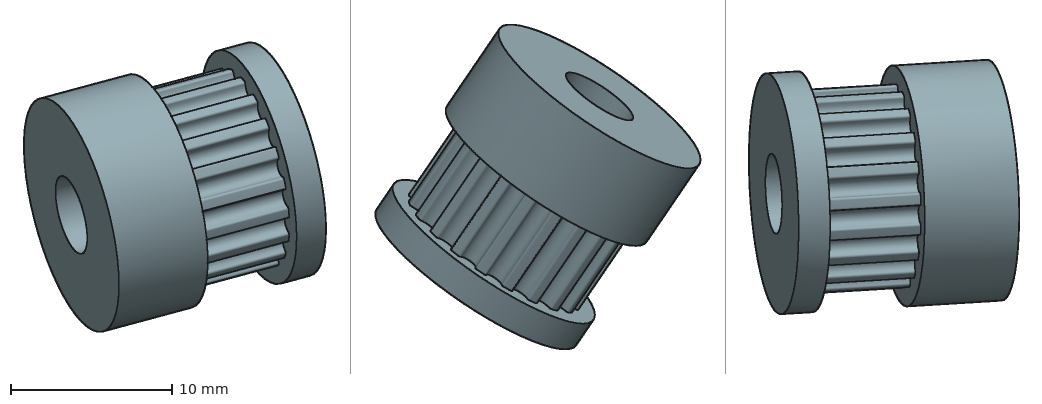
import cadquery as cq
import math

outer_diameter = 15.0
bore_diameter = 5.0
hub_length = 6.0
belt_width = 6.0
flange_thickness = 2.0

tooth_count = 20
tip_radius = 6.36
groove_depth = 0.75
root_arc_radius = 0.55
root_arc_half_angle = 66.0
flank_arc_radius = 1.0
tip_fillet_radius = 0.15

tooth_pitch_angle = 360.0 / tooth_count
flange_start = hub_length + belt_width
total_length = flange_start + flange_thickness


def polar(center, radius, angle):
    """Point at an angle (radians) on a circle."""
    return (center[0] + radius * math.cos(angle), center[1] + radius * math.sin(angle))


def toward(start, end, distance):
    """Point at a distance from start along the direction to end."""
    return polar(start, distance, math.atan2(end[1] - start[1], end[0] - start[0]))


def arc_middle(center, start, end):
    """Midpoint of the shorter arc from start to end about a center."""
    chord_middle = ((start[0] + end[0]) / 2, (start[1] + end[1]) / 2)
    return toward(center, chord_middle, math.dist(center, start))


def mirrored(point):
    return (-point[0], point[1])


def disc(radius, start, length):
    """Round slab along +Y, beginning at y = start."""
    return cq.Workplane("XZ", origin=(0, start, 0)).circle(radius).extrude(-length)


def groove_cutter():
    """One belt groove, centered on +Z and running the belt width."""
    axis = (0.0, 0.0)
    root_bottom = (0.0, tip_radius - groove_depth)
    root_center = (0.0, root_bottom[1] + root_arc_radius)

    joint_angle = math.radians(root_arc_half_angle - 90)
    root_end = polar(root_center, root_arc_radius, joint_angle)
    flank_center = polar(root_end, -flank_arc_radius, joint_angle)

    to_axis = tip_radius - tip_fillet_radius
    to_flank = flank_arc_radius + tip_fillet_radius
    axis_to_flank = math.hypot(*flank_center)
    opening_cosine = (to_axis**2 + axis_to_flank**2 - to_flank**2) / (2 * to_axis * axis_to_flank)
    flank_direction = math.atan2(flank_center[1], flank_center[0])
    fillet_center = polar(axis, to_axis, flank_direction - math.acos(opening_cosine))
    flank_end = toward(flank_center, fillet_center, flank_arc_radius)
    tip_corner = toward(axis, fillet_center, tip_radius)

    flank_middle = arc_middle(flank_center, root_end, flank_end)
    fillet_middle = arc_middle(fillet_center, flank_end, tip_corner)

    return (
        cq.Workplane("XZ", origin=(0, hub_length, 0))
        .moveTo(*tip_corner)
        .threePointArc(fillet_middle, flank_end)
        .threePointArc(flank_middle, root_end)
        .threePointArc(root_bottom, mirrored(root_end))
        .threePointArc(mirrored(flank_middle), mirrored(flank_end))
        .threePointArc(mirrored(fillet_middle), mirrored(tip_corner))
        .threePointArc((0.0, tip_radius), tip_corner)
        .close()
        .extrude(-belt_width)
    )


def toothed_ring():
    ring = disc(tip_radius, hub_length, belt_width)
    cutter = groove_cutter()
    for index in range(tooth_count):
        ring = ring.cut(cutter.rotate((0, 0, 0), (0, 1, 0), index * tooth_pitch_angle))
    return ring


hub = disc(outer_diameter / 2, 0, hub_length)
flange = disc(outer_diameter / 2, flange_start, flange_thickness)
bore = disc(bore_diameter / 2, 0, total_length)

result = hub.union(toothed_ring()).union(flange).cut(bore)